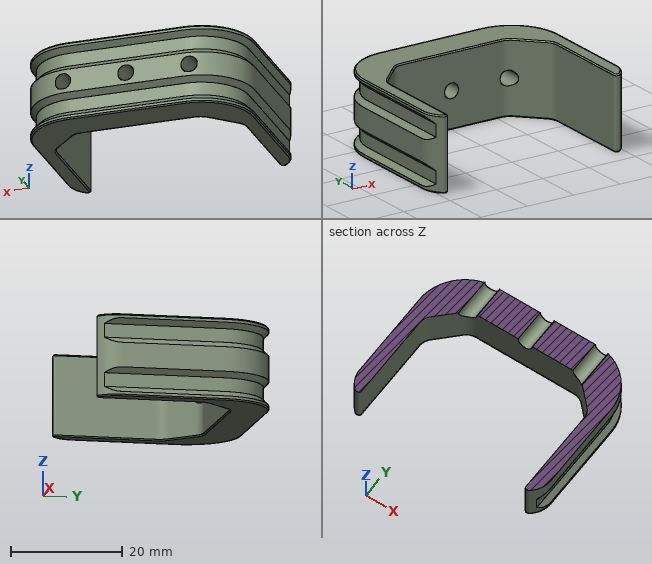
import cadquery as cq

outer_width = 42.0
outer_depth = 33.0
height = 15.0

arm_thickness = 3.0
back_thickness = 7.0

outer_corner_radius = 10.0
inner_corner_chamfer = 6.0
inner_fillet_radius = 3.0
tip_bevel = 2.0
tip_blend_radius = 5.0

tip_edge_radius = 0.5

edge_chamfer = 0.25

groove_depth = 1.0
groove_floor_width = 2.5
groove_offset = 4.5
groove_overrun = 1.0

hole_diameter = 3.0
hole_pitch = 12.0

half_width = outer_width / 2
half_inner_width = half_width - arm_thickness
back_y = outer_depth / 2
tip_y = -outer_depth / 2
inner_back_y = back_y - back_thickness


def upright_edge(x, y):
    """Selector for the edge along Z that passes through (x, y)."""
    return cq.selectors.NearestToPointSelector((x, y, 0))


def inner_space():
    """Space between the arms, with chamfered and softened back corners."""
    chamfer_x = half_inner_width - inner_corner_chamfer
    chamfer_y = inner_back_y - inner_corner_chamfer
    return (
        cq.Workplane("XY")
        .workplane(offset=-height / 2)
        .moveTo(-half_inner_width, tip_y)
        .lineTo(-half_inner_width, chamfer_y)
        .lineTo(-chamfer_x, inner_back_y)
        .lineTo(chamfer_x, inner_back_y)
        .lineTo(half_inner_width, chamfer_y)
        .lineTo(half_inner_width, tip_y)
        .close()
        .extrude(height)
        .edges("|Z and (not <Y)")
        .fillet(inner_fillet_radius)
    )


def clip_blank():
    """U-shaped clip with rounded back corners, bevelled arm tips and softened edges."""
    blank = (
        cq.Workplane("XY")
        .box(outer_width, outer_depth, height)
        .edges("|Z and >Y")
        .fillet(outer_corner_radius)
        .edges("|Z and <Y")
        .chamfer(tip_bevel)
    )
    for side in (-1, 1):
        bevel_start = upright_edge(side * half_width, tip_y + tip_bevel)
        blank = blank.edges(bevel_start).fillet(tip_blend_radius)
    blank = blank.cut(inner_space())
    blank = blank.edges("|Z and <Y").fillet(tip_edge_radius)
    return blank.faces("<Z or >Z").edges().chamfer(edge_chamfer)


def groove_cutter(center_z):
    """Trapezoid swept along the outer wall, running past both arm tips."""
    start_y = tip_y - groove_overrun
    arc_start_y = back_y - outer_corner_radius
    arc_end_x = half_width - outer_corner_radius
    path = (
        cq.Workplane("XY")
        .workplane(offset=center_z)
        .moveTo(-half_width, start_y)
        .lineTo(-half_width, arc_start_y)
        .radiusArc((-arc_end_x, back_y), outer_corner_radius)
        .lineTo(arc_end_x, back_y)
        .radiusArc((half_width, arc_start_y), outer_corner_radius)
        .lineTo(half_width, start_y)
    )
    half_floor = groove_floor_width / 2
    half_mouth = half_floor + groove_depth
    floor_x = -half_width + groove_depth
    section = (
        cq.Workplane("XZ", origin=(0, start_y, center_z))
        .moveTo(-half_width, -half_mouth)
        .lineTo(floor_x, -half_floor)
        .lineTo(floor_x, half_floor)
        .lineTo(-half_width, half_mouth)
        .close()
    )
    return section.sweep(path)


def screw_holes():
    """Three holes along Y, spread across the back wall."""
    return (
        cq.Workplane("XZ")
        .pushPoints([(-hole_pitch, 0), (0, 0), (hole_pitch, 0)])
        .circle(hole_diameter / 2)
        .extrude(outer_depth, both=True)
    )


result = clip_blank()
for side in (-1, 1):
    result = result.cut(groove_cutter(side * groove_offset))
result = result.cut(screw_holes())